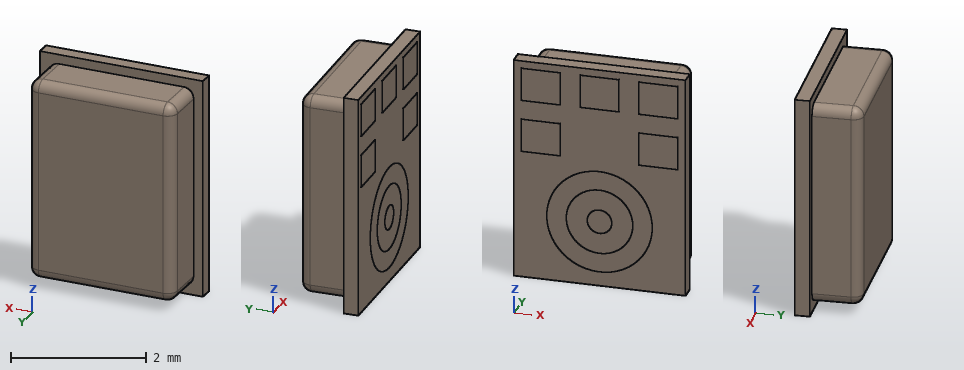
import cadquery as cq

board_width = 2.65
board_height = 3.5
total_thickness = 0.98

board_thickness = 0.23
cover_margin = 0.15
cover_radius = 0.16
cover_width = board_width - 2 * cover_margin
cover_height = board_height - 2 * cover_margin
cover_thickness = total_thickness - board_thickness

contact_thickness = 0.02
pad_width = 0.6
pad_height = 0.52
pad_margin = 0.12
pad_row_pitch = 0.825

round_contact_height = 1.04
ring_outer_diameter = 1.628
ring_inner_diameter = 1.025
centre_disc_diameter = 0.378

pad_column = board_width / 2 - pad_margin - pad_width / 2
upper_row = board_height - pad_margin - pad_height / 2
lower_row = upper_row - pad_row_pitch
pad_centres = [
    (-pad_column, upper_row),
    (0, upper_row),
    (pad_column, upper_row),
    (-pad_column, lower_row),
    (pad_column, lower_row),
]


def make_block(width, thickness, height, front, centre):
    """Box with its -Y face at Y = front, centred on the given (X, Z) point."""
    x, z = centre
    box = cq.Workplane("XY").box(width, thickness, height)
    return box.translate((x, front + thickness / 2, z))


def make_disc(diameter):
    """Round plate let into the contact face, centred on the ring axis."""
    plane = cq.Workplane("XZ", origin=(0, 0, round_contact_height))
    return plane.circle(diameter / 2).extrude(-contact_thickness)


def make_pad(centre):
    """One rectangular contact pad, flush with the contact face."""
    return make_block(pad_width, contact_thickness, pad_height, 0, centre)


def make_ring():
    """Flat ring contact, flush with the contact face."""
    return make_disc(ring_outer_diameter).cut(make_disc(ring_inner_diameter))


def make_housing(inlays):
    """Board and rounded cover in one piece, with a matching recess for each inlay."""
    centre = (0, board_height / 2)
    board = make_block(board_width, board_thickness, board_height, 0, centre)
    cover = make_block(cover_width, cover_thickness, cover_height, board_thickness, centre)
    cover = cover.edges("|Y or >Y").fillet(cover_radius)
    housing = board.union(cover)
    for inlay in inlays:
        housing = housing.cut(inlay)
    return housing


pads = [make_pad(centre) for centre in pad_centres]
ring = make_ring()
centre_disc = make_disc(centre_disc_diameter)
housing = make_housing([*pads, ring, centre_disc])

result = cq.Compound.makeCompound(
    [housing.val(), ring.val(), centre_disc.val(), *[pad.val() for pad in pads]]
)